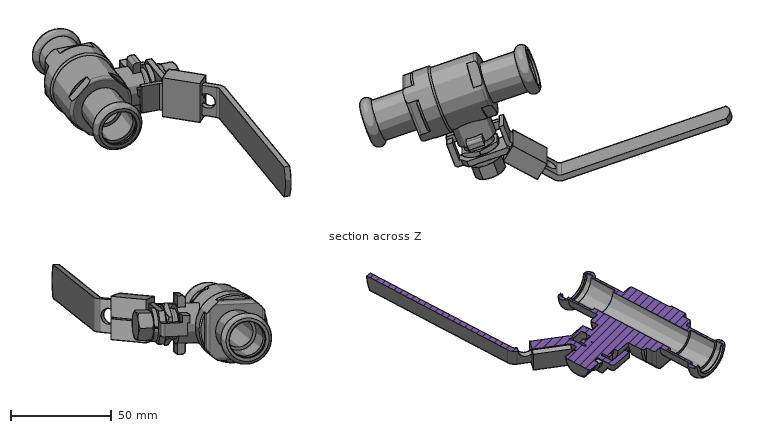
import cadquery as cq
import math


LEFT_END = -48.9
RIGHT_END = 39.15
PIPE_DIAMETER = 21.2
BEAD_DIAMETER = 25.8
BEAD_WIDTH = 6.2
BEAD_LIP_DIAMETER = 22.0
BORE_DIAMETER = 15.0
SOCKET_DIAMETER = 18.2
SOCKET_DEPTH = 20.0
MOUTH_DIAMETER = 18.6
MOUTH_DEPTH = 1.2
SEAL_GROOVE_DIAMETER = 21.4
SEAL_GROOVE_WIDTH = 3.6

BODY_START = -24.9
COLLAR_START = -19.8
COLLAR_TAPER_END = -18.5
COLLAR_END = -9.3
BODY_END = 14.9
BODY_DIAMETER = 33.0
COLLAR_DIAMETER = 35.0
COLLAR_FRONT_DIAMETER = 33.8
FLAT_DISTANCE = 15.0
BODY_ROUND = 1.5
END_FLAT_LENGTH = 5.3

NECK_DIAMETER = 20.0
NECK_TOP = 25.5
SEAL_TIP_DIAMETER = 15.0
SEAL_DIAMETER = 15.8
SEAL_CONE_TOP = 27.1
SEAL_TOP = 29.0
GLAND_ACROSS_FLATS = 18.6
GLAND_TOP = 31.8
STEM_DIAMETER = 10.5
PLATE_BOTTOM = 32.7
PLATE_THICKNESS = 3.1
PLATE_TOP = PLATE_BOTTOM + PLATE_THICKNESS
WASHER_DIAMETER = 16.8
WASHER_TOP = 38.0
NUT_ACROSS_FLATS = 13.9
NUT_TOP = 45.7
NUT_BEVEL = 0.6
GLAND_BEVEL = 1.1
WASHER_GAP = 0.8

STOP_BOTTOM = 21.1
STOP_TOP = 25.1
LUG_WIDTH = 8.4
LUG_REACH = 14.9
LUG_ROUND = 1.8
STOP_ROUND = 0.9
LEFT_STOP_Z = (3.0, 6.9)
RIGHT_STOP_Z = (0.0, 3.8)

HANDLE_WIDTH = 17.0
HANDLE_TOP = 58.8
HANDLE_TIP = 122.93
HANDLE_TIP_SAGITTA = 2.0
HANDLE_ANGLE = 50.0
BEND_RADIUS = 2.5
LEG_LEFT = -15.1
LEG_WIDTH = 6.8
LEG_BOTTOM = 22.6
PLATE_CORNER_X = -8.0
LOCK_HOLE_DIAMETER = 8.0
LOCK_HOLE_Y = 52.2

BLOCK_CENTER = (19.3, 42.4)
BLOCK_LENGTH = 19.6
BLOCK_DEPTH = 9.6
BLOCK_WIDTH = 22.0
BLOCK_SEAM = 0.8
LATCH_LEFT = 13.3
LATCH_THICKNESS = 2.3
LATCH_WIDTH = 15.0
LATCH_BOTTOM = 21.2
LATCH_BEND_Y = 31.5


def x_cylinder(start, end, diameter):
    return cq.Workplane("YZ", origin=(start, 0, 0)).circle(diameter / 2).extrude(end - start)


def x_cone(start, end, start_diameter, end_diameter):
    return cq.Workplane("XY").polyline([
        (start, 0),
        (start, start_diameter / 2),
        (end, end_diameter / 2),
        (end, 0),
    ]).close().revolve(360, (0, 0, 0), (1, 0, 0))


def stem_plane(height):
    """Workplane across the stem, normal along +Y, with local x = Z and local y = X."""
    return cq.Workplane(cq.Plane(origin=(0, height, 0), xDir=(0, 0, 1), normal=(0, 1, 0)))


def stem_cylinder(bottom, top, diameter):
    return stem_plane(bottom).circle(diameter / 2).extrude(top - bottom)


def box_between(x_range, y_range, z_range):
    sizes = [high - low for low, high in (x_range, y_range, z_range)]
    corner = (x_range[0], y_range[0], z_range[0])
    return cq.Workplane("XY").box(*sizes, centered=False).translate(corner)


def hexagon(bottom, top, across_flats, turn, bevel, bevelled_faces):
    """Nut around the stem, with the corners of the chosen end faces cut back by a cone."""
    across_corners = across_flats / math.cos(math.pi / 6)
    nut = stem_plane(bottom).transformed(rotate=(0, 0, turn)).polygon(6, across_corners)
    rounding = stem_cylinder(bottom, top, across_corners).faces(bevelled_faces).chamfer(
        bevel, (across_corners - across_flats) / 2
    )
    return nut.extrude(top - bottom).intersect(rounding)


def press_bead(outer_end, inward):
    """Rolled bead at a pipe end; inward is the X direction into the pipe."""
    inner_end = outer_end + inward * BEAD_WIDTH
    crest = (outer_end + inner_end) / 2
    return (
        cq.Workplane("XY")
        .moveTo(outer_end, 0)
        .lineTo(outer_end, BEAD_LIP_DIAMETER / 2)
        .threePointArc((crest, BEAD_DIAMETER / 2), (inner_end, PIPE_DIAMETER / 2))
        .lineTo(inner_end, 0)
        .close()
        .revolve(360, (0, 0, 0), (1, 0, 0))
    )


def press_socket(outer_end, inward):
    """Stepped opening of a pipe end: mouth, seal groove in the bead and tube socket."""
    groove_start = (BEAD_WIDTH - SEAL_GROOVE_WIDTH) / 2
    steps = [
        (0, MOUTH_DEPTH, MOUTH_DIAMETER),
        (0, SOCKET_DEPTH, SOCKET_DIAMETER),
        (groove_start, groove_start + SEAL_GROOVE_WIDTH, SEAL_GROOVE_DIAMETER),
    ]
    socket = cq.Workplane("XY")
    for near, far, diameter in steps:
        ends = sorted((outer_end + inward * near, outer_end + inward * far))
        socket = socket.union(x_cylinder(*ends, diameter))
    return socket


def wrench_flat_cutter():
    """Removes the body above one wrench flat, leaving the tapered front of the collar."""
    outside = COLLAR_DIAMETER
    half_width = math.sqrt((COLLAR_DIAMETER / 2) ** 2 - FLAT_DISTANCE**2)
    lower = FLAT_DISTANCE - BODY_ROUND
    slant = BODY_ROUND * (1 - math.sqrt(0.5))
    cutter = (
        cq.Workplane("XZ", origin=(0, outside / 2, 0))
        .moveTo(BODY_START, outside)
        .lineTo(BODY_START, lower)
        .threePointArc(
            (BODY_START + slant, FLAT_DISTANCE - slant),
            (BODY_START + BODY_ROUND, FLAT_DISTANCE),
        )
        .lineTo(COLLAR_TAPER_END, FLAT_DISTANCE)
        .lineTo(COLLAR_TAPER_END, outside)
        .close()
        .extrude(outside)
    )
    collar_front = x_cone(COLLAR_START, COLLAR_TAPER_END, COLLAR_FRONT_DIAMETER, COLLAR_DIAMETER)
    return cutter.cut(collar_front)


def valve_body():
    main = x_cylinder(COLLAR_END, BODY_END, BODY_DIAMETER).faces(">X").edges().fillet(BODY_ROUND)
    end_flats = (
        cq.Workplane("YZ", origin=(BODY_END - END_FLAT_LENGTH, 0, 0))
        .transformed(rotate=(0, 0, 45))
        .rect(2 * FLAT_DISTANCE, 2 * FLAT_DISTANCE)
        .extrude(END_FLAT_LENGTH)
    )
    rest = x_cylinder(COLLAR_END, BODY_END - END_FLAT_LENGTH, BODY_DIAMETER)
    main = main.intersect(rest.union(end_flats))

    cap = x_cylinder(BODY_START, COLLAR_END, COLLAR_DIAMETER)
    cap = cap.faces(">X").chamfer((COLLAR_DIAMETER - BODY_DIAMETER) / 2)
    cutter = wrench_flat_cutter()
    for quarter in range(4):
        cap = cap.cut(cutter.rotate((0, 0, 0), (1, 0, 0), 90 * quarter))
    return main.union(cap)


def split_washer():
    """Spring washer on the stem, with its gap toward -X."""
    half_gap = WASHER_GAP / 2
    gap = box_between(
        (-WASHER_DIAMETER / 2, -STEM_DIAMETER / 2), (PLATE_TOP, WASHER_TOP), (-half_gap, half_gap)
    )
    return stem_cylinder(PLATE_TOP, WASHER_TOP, WASHER_DIAMETER).cut(gap)


def stem_stack():
    seal_cone = stem_plane(NECK_TOP).circle(SEAL_TIP_DIAMETER / 2)
    seal_cone = seal_cone.workplane(offset=SEAL_CONE_TOP - NECK_TOP).circle(SEAL_DIAMETER / 2).loft()
    return (
        stem_cylinder(0, NECK_TOP, NECK_DIAMETER)
        .union(seal_cone)
        .union(stem_cylinder(SEAL_CONE_TOP, SEAL_TOP, SEAL_DIAMETER))
        .union(hexagon(SEAL_TOP, GLAND_TOP, GLAND_ACROSS_FLATS, 0, GLAND_BEVEL, ">Y"))
        .union(stem_cylinder(GLAND_TOP, PLATE_BOTTOM, STEM_DIAMETER))
        .union(split_washer())
        .union(hexagon(WASHER_TOP, NUT_TOP, NUT_ACROSS_FLATS, 30, NUT_BEVEL, "|Y"))
    )


def neck_stops():
    height = (STOP_BOTTOM, STOP_TOP)
    half_lug = LUG_WIDTH / 2
    lugs = box_between((-half_lug, half_lug), height, (-LUG_REACH, LUG_REACH))
    lugs = lugs.faces("<Y").edges("|X").fillet(LUG_ROUND)
    left_stop = box_between((LEG_LEFT, 0), height, LEFT_STOP_Z).edges("<X and <Y").fillet(STOP_ROUND)
    right_stop = box_between((0, LATCH_LEFT), height, RIGHT_STOP_Z).edges(">X and <Y").fillet(STOP_ROUND)
    return lugs.union(left_stop).union(right_stop)


def along_slope(y):
    """X of the sloped centre line of the handle at height y."""
    return BLOCK_CENTER[0] + (y - BLOCK_CENTER[1]) / math.tan(math.radians(HANDLE_ANGLE))


def extrude_profile(points, width):
    return cq.Workplane("XY").polyline(points).close().extrude(width / 2, both=True)


def handle():
    half = PLATE_THICKNESS / 2
    miter = half * math.tan(math.radians(HANDLE_ANGLE / 2))
    bend_low = along_slope(PLATE_BOTTOM + half)
    bend_high = along_slope(HANDLE_TOP - half)
    strip = extrude_profile([
        (LEG_LEFT, PLATE_BOTTOM),
        (bend_low + miter, PLATE_BOTTOM),
        (bend_high + miter, HANDLE_TOP - PLATE_THICKNESS),
        (HANDLE_TIP, HANDLE_TOP - PLATE_THICKNESS),
        (HANDLE_TIP, HANDLE_TOP),
        (bend_high - miter, HANDLE_TOP),
        (bend_low - miter, PLATE_TOP),
        (LEG_LEFT, PLATE_TOP),
    ], HANDLE_WIDTH)
    middle = (bend_high, HANDLE_TOP - half, 0)
    bend_box = cq.selectors.BoxSelector(
        tuple(c - PLATE_THICKNESS for c in middle), tuple(c + PLATE_THICKNESS for c in middle)
    )
    outer = strip.edges("|Z").edges(bend_box).edges(">Y")
    strip = outer.fillet(BEND_RADIUS + PLATE_THICKNESS)
    inner = strip.edges("|Z").edges(bend_box).edges("<Y")
    strip = inner.fillet(BEND_RADIUS)

    half_width = HANDLE_WIDTH / 2
    half_leg = LEG_WIDTH / 2
    neck_x = PLATE_CORNER_X - PLATE_THICKNESS
    tip_corner = HANDLE_TIP - HANDLE_TIP_SAGITTA
    plan = (
        cq.Workplane("XZ")
        .moveTo(LEG_LEFT, -half_leg)
        .lineTo(neck_x, -half_leg)
        .lineTo(PLATE_CORNER_X, -half_width)
        .lineTo(tip_corner, -half_width)
        .threePointArc((HANDLE_TIP, 0), (tip_corner, half_width))
        .lineTo(PLATE_CORNER_X, half_width)
        .lineTo(neck_x, half_leg)
        .lineTo(LEG_LEFT, half_leg)
        .close()
        .extrude(-HANDLE_TOP)
    )
    strip = strip.intersect(plan)

    leg = box_between(
        (LEG_LEFT, LEG_LEFT + PLATE_THICKNESS), (LEG_BOTTOM, PLATE_TOP), (-half_leg, half_leg)
    )
    strip = strip.union(leg).faces("<X").edges(">Y").fillet(half)

    slope = math.radians(HANDLE_ANGLE)
    hole_plane = cq.Plane(
        origin=(along_slope(LOCK_HOLE_Y), LOCK_HOLE_Y, 0),
        xDir=(0, 0, 1),
        normal=(-math.sin(slope), math.cos(slope), 0),
    )
    hole = cq.Workplane(hole_plane).circle(LOCK_HOLE_DIAMETER / 2).extrude(PLATE_THICKNESS, both=True)
    return strip.cut(hole)


def sliding_lock():
    wall = (BLOCK_DEPTH - PLATE_THICKNESS) / 2
    seam_center = (0, (BLOCK_DEPTH - wall) / 2, 0)
    seam = cq.Workplane("XY").box(BLOCK_LENGTH, wall, BLOCK_SEAM).translate(seam_center)
    block = (
        cq.Workplane("XY")
        .box(BLOCK_LENGTH, BLOCK_DEPTH, BLOCK_WIDTH)
        .cut(seam)
        .rotate((0, 0, 0), (0, 0, 1), HANDLE_ANGLE)
        .translate((*BLOCK_CENTER, 0))
    )
    turn = math.radians(90 - HANDLE_ANGLE)
    miter = LATCH_THICKNESS * math.tan(turn / 2)
    rise = BLOCK_DEPTH / 2
    run = rise * math.tan(turn)
    right = LATCH_LEFT + LATCH_THICKNESS
    latch = extrude_profile([
        (LATCH_LEFT, LATCH_BOTTOM),
        (right, LATCH_BOTTOM),
        (right, LATCH_BEND_Y - miter),
        (right + run, LATCH_BEND_Y - miter + rise),
        (LATCH_LEFT + run, LATCH_BEND_Y + rise),
        (LATCH_LEFT, LATCH_BEND_Y),
    ], LATCH_WIDTH)
    return block.union(latch)


solid = x_cylinder(LEFT_END, RIGHT_END, PIPE_DIAMETER).union(valve_body()).union(stem_stack())
for pipe_end, inward in ((LEFT_END, 1), (RIGHT_END, -1)):
    solid = solid.union(press_bead(pipe_end, inward))
    solid = solid.cut(press_socket(pipe_end, inward))
solid = solid.cut(x_cylinder(LEFT_END, RIGHT_END, BORE_DIAMETER))
result = solid.union(neck_stops()).union(handle()).union(sliding_lock())